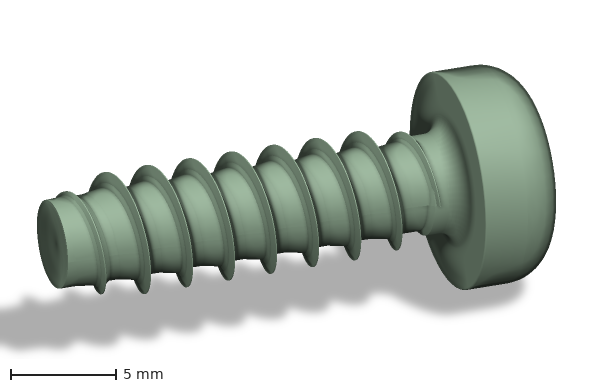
import math
import cadquery as cq

overall_length = 24.2
head_height = 4.18
head_radius = 5.25
head_round = 2.05
underside_fillet = 0.07
neck_radius = 2.4
neck_fillet = 0.8
neck_length = 1.52
core_radius = 2.13
end_dent_depth = 0.2
end_dent_radius = 1.98
tip_y = head_height - overall_length

pitch = 2.13
turns = 8.5
thread_start_y = -1.3
segment_turns = 0.5
stations_per_segment = 6
run_in_turns = 1.25
run_in_height = 0.48
run_out_turns = 1.2
run_out_height = 0.18
buried_radius = 1.81

thread_profile = [
    (0.45, -0.05),
    (0.3, 0.17),
    (0.15, 0.39),
    (0.02, 0.9),
    (-0.02, 0.9),
    (-0.15, 0.39),
    (-0.3, 0.17),
    (-1.5, -0.05),
]


def make_body():
    """Head, neck and plain core as one revolved solid."""
    half_root = math.sqrt(0.5)
    rim_center_radius = head_radius - head_round
    rim_center_y = head_height - head_round
    fillet_center_radius = neck_radius + neck_fillet
    return (
        cq.Workplane("XY")
        .moveTo(0, head_height)
        .lineTo(rim_center_radius, head_height)
        .threePointArc(
            (rim_center_radius + head_round * half_root, rim_center_y + head_round * half_root),
            (head_radius, rim_center_y),
        )
        .lineTo(head_radius, underside_fillet)
        .threePointArc(
            (
                head_radius - underside_fillet * (1 - half_root),
                underside_fillet * (1 - half_root),
            ),
            (head_radius - underside_fillet, 0),
        )
        .lineTo(fillet_center_radius, 0)
        .threePointArc(
            (
                fillet_center_radius - neck_fillet * half_root,
                -neck_fillet * (1 - half_root),
            ),
            (neck_radius, -neck_fillet),
        )
        .lineTo(neck_radius, -neck_length)
        .lineTo(core_radius, -neck_length - (neck_radius - core_radius))
        .lineTo(core_radius, tip_y)
        .lineTo(0, tip_y)
        .close()
        .revolve(360, (0, 0, 0), (0, 1, 0))
    )


def height_fraction(turn):
    """Thread height, growing at the neck and fading out at the tip."""
    run_in = run_in_height + (1 - run_in_height) * turn / run_in_turns
    run_out = run_out_height + (1 - run_out_height) * (turns - turn) / run_out_turns
    return min(1.0, run_in, run_out)


def helix_point(turn, axial_offset, radius):
    angle = 2 * math.pi * turn
    y = thread_start_y - pitch * turn + axial_offset
    return cq.Vector(radius * math.cos(angle), y, radius * math.sin(angle))


def helix_edge(first_turn, axial_offset, height):
    """Helical edge of one thread segment; a height of None gives a buried root edge."""
    points = []
    for index in range(stations_per_segment + 1):
        turn = first_turn + segment_turns * index / stations_per_segment
        if height is None:
            radius = buried_radius
        else:
            radius = core_radius + height * height_fraction(turn)
        points.append(helix_point(turn, axial_offset, radius))
    return cq.Edge.makeSpline(points)


def make_thread_segment(first_turn):
    """Closed solid: ruled flanks between helical edges, with flat ends."""
    first_offset = thread_profile[0][0]
    last_offset = thread_profile[-1][0]
    edges = [helix_edge(first_turn, first_offset, None)]
    edges += [helix_edge(first_turn, offset, height) for offset, height in thread_profile]
    edges.append(helix_edge(first_turn, last_offset, None))
    faces = []
    for index, edge in enumerate(edges):
        next_edge = edges[(index + 1) % len(edges)]
        faces.append(cq.Face.makeRuledSurface(edge, next_edge))
    for corners in ([e.startPoint() for e in edges], [e.endPoint() for e in edges]):
        faces.append(cq.Face.makeFromWires(cq.Wire.makePolygon(corners, close=True)))
    return cq.Solid.makeSolid(cq.Shell.makeShell(faces)).fix()


def make_space_beyond_tip():
    """Waste beyond the flat end, removing the thread's overhang there."""
    return cq.Workplane("XZ", origin=(0, tip_y, 0)).circle(head_radius).extrude(pitch)


def make_end_dent():
    """Shallow cone sunk into the flat end."""
    return (
        cq.Workplane("XY")
        .polyline([(0, tip_y), (end_dent_radius, tip_y), (0, tip_y + end_dent_depth)])
        .close()
        .revolve(360, (0, 0, 0), (0, 1, 0))
    )


result = make_body()
for segment in range(round(turns / segment_turns)):
    result = result.union(make_thread_segment(segment * segment_turns), clean=False)
result = result.cut(make_space_beyond_tip()).cut(make_end_dent())